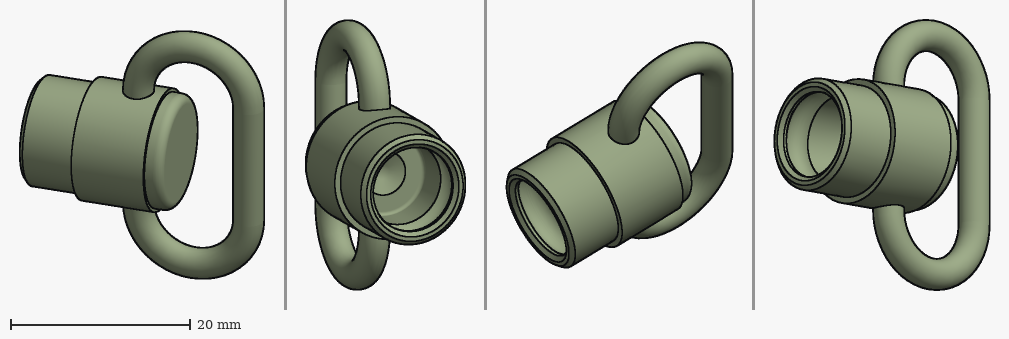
import cadquery as cq
import math


NOSE_RADIUS = 6.3
NOSE_LENGTH = 6.5
NOSE_CHAMFER = 0.5
COLLAR_RADIUS = 7.0
COLLAR_LENGTH = 8.5
TAIL_RADIUS = 6.6
TAIL_LENGTH = 2.0
TAIL_FILLET = 1.0
HOUSING_LENGTH = NOSE_LENGTH + COLLAR_LENGTH + TAIL_LENGTH

BORE_RADIUS = 4.8
BORE_DEPTH = 9.0
BORE_FLOOR_FILLET = 0.4
MOUTH_CHAMFER = 0.5
GROOVE_CENTRE_X = 2.55
GROOVE_RADIUS = 5.75
GROOVE_FLAT = 0.2
GROOVE_CORNER_RADIUS = 1.7
PILOT_RADIUS = 2.5
PILOT_DEPTH = 1.0

WIRE_RADIUS = 1.75
BEND_RADIUS = 6.5
LEG_X = 12.0
BAR_X = LEG_X + 2 * BEND_RADIUS
BEND_CENTRE_X = LEG_X + BEND_RADIUS
BEND_START_Z = COLLAR_RADIUS
SOCKET_DEPTH = 2.0
LEG_END_Z = BEND_START_Z - SOCKET_DEPTH


def revolve_about_x(profile):
    """Turn a closed profile, drawn as (X, radius), a full turn about the X axis."""
    return profile.close().revolve(360, (0, 0, 0), (1, 0, 0))


def make_housing_blank():
    """Nose, collar and rounded tail as one turned solid."""
    collar_end = NOSE_LENGTH + COLLAR_LENGTH
    blank = revolve_about_x(
        cq.Workplane("XY")
        .moveTo(0, 0)
        .lineTo(0, NOSE_RADIUS - NOSE_CHAMFER)
        .lineTo(NOSE_CHAMFER, NOSE_RADIUS)
        .lineTo(NOSE_LENGTH, NOSE_RADIUS)
        .lineTo(NOSE_LENGTH, COLLAR_RADIUS)
        .lineTo(collar_end, COLLAR_RADIUS)
        .lineTo(collar_end, TAIL_RADIUS)
        .lineTo(HOUSING_LENGTH, TAIL_RADIUS)
        .lineTo(HOUSING_LENGTH, 0)
    )
    return blank.faces(">X").edges().fillet(TAIL_FILLET)


def make_bore():
    """Chamfered bore with a rounded floor corner and a conical pilot in its floor."""
    floor_corner_x = BORE_DEPTH - BORE_FLOOR_FILLET
    floor_corner_radius = BORE_RADIUS - BORE_FLOOR_FILLET
    return revolve_about_x(
        cq.Workplane("XY")
        .moveTo(0, 0)
        .lineTo(0, BORE_RADIUS + MOUTH_CHAMFER)
        .lineTo(MOUTH_CHAMFER, BORE_RADIUS)
        .lineTo(floor_corner_x, BORE_RADIUS)
        .radiusArc((BORE_DEPTH, floor_corner_radius), BORE_FLOOR_FILLET)
        .lineTo(BORE_DEPTH, PILOT_RADIUS)
        .lineTo(BORE_DEPTH + PILOT_DEPTH, 0)
    )


def make_groove():
    """Ring groove cut outward from the bore: a narrow flat bottom between two rounded flanks."""
    half_flat = GROOVE_FLAT / 2
    depth = GROOVE_RADIUS - BORE_RADIUS
    flank_width = math.sqrt(GROOVE_CORNER_RADIUS**2 - (GROOVE_CORNER_RADIUS - depth) ** 2)
    half_mouth = half_flat + flank_width
    start_x = GROOVE_CENTRE_X - half_mouth
    end_x = GROOVE_CENTRE_X + half_mouth
    return revolve_about_x(
        cq.Workplane("XY")
        .moveTo(start_x, 0)
        .lineTo(start_x, BORE_RADIUS)
        .radiusArc((GROOVE_CENTRE_X - half_flat, GROOVE_RADIUS), GROOVE_CORNER_RADIUS)
        .lineTo(GROOVE_CENTRE_X + half_flat, GROOVE_RADIUS)
        .radiusArc((end_x, BORE_RADIUS), GROOVE_CORNER_RADIUS)
        .lineTo(end_x, 0)
    )


def make_loop():
    """Sweep the wire from one leg end, round both bends and the bar, to the other leg end."""
    path = (
        cq.Workplane("XZ")
        .moveTo(LEG_X, LEG_END_Z)
        .lineTo(LEG_X, BEND_START_Z)
        .threePointArc((BEND_CENTRE_X, BEND_START_Z + BEND_RADIUS), (BAR_X, BEND_START_Z))
        .lineTo(BAR_X, -BEND_START_Z)
        .threePointArc((BEND_CENTRE_X, -BEND_START_Z - BEND_RADIUS), (LEG_X, -BEND_START_Z))
        .lineTo(LEG_X, -LEG_END_Z)
    )
    wire_section = cq.Workplane("XY").workplane(offset=LEG_END_Z).center(LEG_X, 0).circle(WIRE_RADIUS)
    return wire_section.sweep(path)


loop = make_loop()
housing = make_housing_blank().cut(make_bore()).cut(make_groove()).cut(loop)

result = cq.Compound.makeCompound([housing.val(), loop.val()])